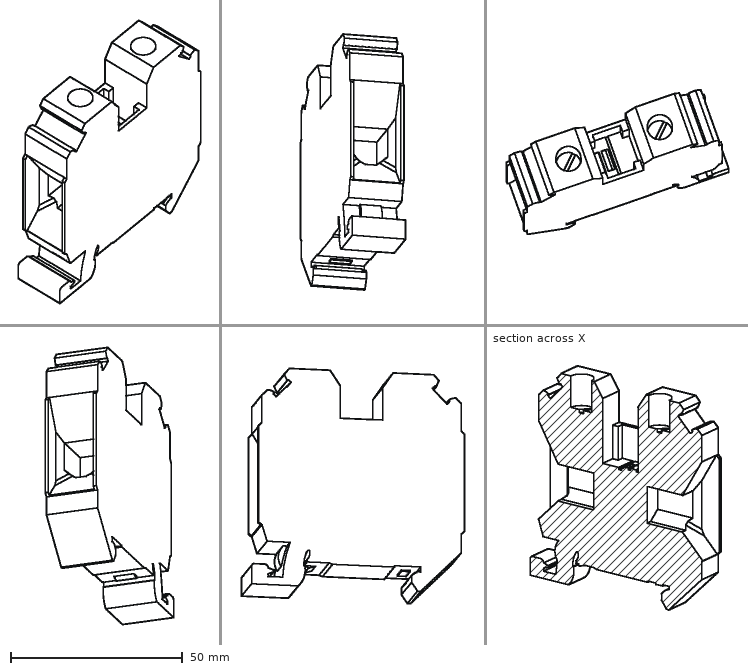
import cadquery as cq

width = 16.0
height = 65.05
side_wall = 1.0
joint_z = 32.5
inner_width = width - 2 * side_wall
half_length = 30.6
shoulder_y = 29.6
plate_step = half_length - shoulder_y
plate_bottom = 18.6
shoulder_top = 56.7
tower_outer_y = 21.4
rib_width = 6.25

notch_half = 6.3
notch_floor = 50.8
notch_chamfer_y = 3.05
notch_chamfer_z = 4.55

entry_top = 48.5
entry_bottom = 18.2
mouth_clearance = 0.65
flat_wall_end = 24.3
funnel_end = 21.5
bore_end = 9.75
bore_overlap = 1.6
bore_width = 10.1
bore_top = 36.55
bore_bottom = 25.3
bore_corner_x = 3.45
bore_corner_z = 2.8
ceiling_slope = 1.7
wall_taper = 1.1
funnel_chamfer = 0.8

screw_y = 14.1
screw_diameter = 7.35
screw_depth = 9.75
screw_slot_width = 1.05
screw_slot_depth = 1.0
screw_slot_angle = -45

recess_depth = 10.4
recess_narrow = 9.6
recess_wide = 13.5
recess_wide_length = 8.6
groove_width = 0.8
groove_depth = 0.65
groove_y = -0.05
rib_height = 0.6
outer_rib_start = 3.6
outer_rib_end = 5.8
inner_rib_start = 0.85
inner_rib_slope = 0.8
inner_rib_end = 2.85
rib_crest = 0.2

underside = 6.9
underside_raised = 7.3
foot_root_y = 17.55
foot_toe_y = 14.8
foot_toe_top = 4.55
slit_y = 16.1
clip_root_y = 21.2
clip_root_z = 12.95
clip_heel_y = 16.8
clip_floor = 2.4
clip_tip_y = 32.65
clip_tip_top = 6.1
clip_tip_round = 0.7
barb_y = 26.1
barb_root_y = 27.7
stop_inner_y = 12.75
stop_outer_y = 15.3
stop_overlap = 0.5


def extrude_yz(profile, thickness):
    """Extrude a closed sketch in the YZ plane evenly to both sides of x = 0."""
    return profile.close().extrude(thickness / 2, both=True)


def box_at(size_x, y_range, z_range):
    """Box centred on x = 0 that spans the given Y and Z ranges."""
    y0, y1 = y_range
    z0, z1 = z_range
    return cq.Workplane("XY").box(size_x, y1 - y0, z1 - z0).translate((0, (y0 + y1) / 2, (z0 + z1) / 2))


def both_ends(solid):
    """Join a solid with its mirror image about y = 0."""
    return solid.union(solid.mirror("XZ"))


def upper_half():
    """+Y half of the housing above the joint plane: end face, marker groove and screw tower."""
    crest = (28.0, 58.35)
    crest_inner = (25.8, 57.6)
    groove_lower_lip = (26.15, 57.25)
    groove_lower_corner = (25.4, 56.45)
    groove_upper_corner = (20.95, 60.9)
    groove_upper_lip = (21.8, 61.65)
    nose_base = (22.1, 61.35)
    nose_tip = (22.95, 63.3)
    outline = (
        cq.Workplane("YZ")
        .moveTo(0, joint_z)
        .lineTo(half_length, joint_z)
        .lineTo(half_length, entry_top - plate_step)
        .lineTo(shoulder_y, entry_top)
        .lineTo(shoulder_y, shoulder_top)
        .lineTo(*crest)
        .threePointArc((26.8, 58.15), crest_inner)
        .lineTo(*groove_lower_lip)
        .lineTo(*groove_lower_corner)
        .lineTo(*groove_upper_corner)
        .lineTo(*groove_upper_lip)
        .lineTo(*nose_base)
        .lineTo(*nose_tip)
        .lineTo(tower_outer_y, height)
        .lineTo(notch_half + notch_chamfer_y, height)
        .lineTo(notch_half, height - notch_chamfer_z)
        .lineTo(notch_half, notch_floor)
        .lineTo(0, notch_floor)
    )
    return extrude_yz(outline, width)


def lower_half():
    """Housing below the joint plane, with the fixed rail foot at +Y and the spring clip at -Y."""
    outline = (
        cq.Workplane("YZ")
        .moveTo(half_length, joint_z)
        .lineTo(half_length, plate_bottom)
        .lineTo(shoulder_y, plate_bottom - plate_step)
        .lineTo(shoulder_y, shoulder_y - foot_root_y)
        .lineTo(foot_root_y, 0)
        .lineTo(16.6, 0)
        .lineTo(foot_toe_y, 2.55)
        .lineTo(foot_toe_y, foot_toe_top)
        .threePointArc((16.0, 5.5), (foot_root_y, 5.8))
        .lineTo(foot_root_y, underside_raised)
        .lineTo(9.75, underside_raised)
        .lineTo(9.75, underside)
        .lineTo(-8.6, underside)
        .lineTo(-9.6, underside_raised)
        .lineTo(-slit_y, underside_raised)
        .lineTo(-slit_y, 8.05)
        .threePointArc((-15.5, 9.1), (-15.35, 10.4))
        .threePointArc((-15.6, 10.8), (-16.0, 10.6))
        .threePointArc((-16.9, 8.45), (-17.1, clip_tip_top))
        .lineTo(-clip_heel_y, clip_tip_top)
        .lineTo(-clip_heel_y, 3.9)
        .threePointArc((-17.45, 1.75), (-18.8, 0))
        .lineTo(-clip_tip_y, 0)
        .lineTo(-clip_tip_y, clip_tip_top - clip_tip_round)
        .threePointArc((-32.4, 5.85), (clip_tip_round - clip_tip_y, clip_tip_top))
        .lineTo(-28.75, clip_tip_top)
        .threePointArc((-28.1, 5.8), (-27.65, 5.0))
        .lineTo(-barb_y, 4.5)
        .lineTo(-barb_y, 3.9)
        .lineTo(-barb_root_y, 3.25)
        .lineTo(-barb_root_y, clip_floor)
        .lineTo(-23.4, clip_floor)
        .threePointArc((-22.7, 7.8), (-clip_root_y, clip_root_z))
        .lineTo(-28.05, clip_root_z)
        .lineTo(-shoulder_y, 17.9)
        .lineTo(-half_length, plate_bottom)
        .lineTo(-half_length, joint_z)
    )
    return extrude_yz(outline, width)


def rail_details():
    """Pad on the fixed foot, bulge on the clip leg and two low stops under the housing."""
    pad = (
        cq.Workplane("YZ")
        .moveTo(foot_root_y, 5.5)
        .lineTo(foot_root_y, 6.4)
        .threePointArc((16.1, 5.8), (foot_toe_y, foot_toe_top))
    )
    bulge_bottom = 6.75
    bulge = (
        cq.Workplane("YZ")
        .moveTo(-clip_root_y, clip_root_z)
        .lineTo(-22.4, clip_root_z)
        .threePointArc((-23.75, 10.15), (-22.95, bulge_bottom))
        .lineTo(-21.8, bulge_bottom)
    )
    stop_top = underside_raised + stop_overlap
    slanted_stop = cq.Workplane("YZ").polyline([
        (-stop_inner_y, stop_top),
        (-stop_inner_y, underside_raised),
        (-14.9, 6.6),
        (-stop_outer_y, underside_raised),
        (-stop_outer_y, stop_top),
    ])
    flat_stop = box_at(rib_width, (stop_inner_y, stop_outer_y), (underside, stop_top))
    return (
        extrude_yz(pad, inner_width)
        .union(extrude_yz(bulge, rib_width))
        .union(extrude_yz(slanted_stop, rib_width))
        .union(flat_stop)
    )


def wire_entry():
    """Cutter for the -Y wire entry: open mouth, tapered funnel and straight bore."""
    mouth_y = half_length + mouth_clearance
    depth = shoulder_y - funnel_end
    funnel = extrude_yz(
        cq.Workplane("YZ").polyline([
            (-mouth_y, entry_bottom - (mouth_y - shoulder_y)),
            (-funnel_end, entry_bottom + depth),
            (-funnel_end, entry_top - ceiling_slope * depth),
            (-shoulder_y, entry_top),
            (-mouth_y, entry_top),
        ]),
        inner_width,
    )
    end_half_width = inner_width / 2 - wall_taper * (flat_wall_end - funnel_end)
    plan = (
        cq.Workplane("XY")
        .polyline([
            (-inner_width / 2, -mouth_y),
            (inner_width / 2, -mouth_y),
            (inner_width / 2, -flat_wall_end),
            (end_half_width, -funnel_end),
            (-end_half_width, -funnel_end),
            (-inner_width / 2, -flat_wall_end),
        ])
        .close()
        .extrude(height)
    )
    funnel = funnel.intersect(plan)
    for side in (-1, 1):
        corner_edge = cq.Vector(-side * wall_taper, 1, 1)
        funnel = funnel.edges(cq.selectors.ParallelDirSelector(corner_edge)).chamfer(funnel_chamfer)

    bore_side = bore_bottom + bore_corner_z
    bore_half_width = bore_width / 2
    bore_floor_half = bore_half_width - bore_corner_x
    bore = (
        cq.Workplane("XZ", origin=(0, -bore_end, 0))
        .polyline([
            (-bore_half_width, bore_top),
            (bore_half_width, bore_top),
            (bore_half_width, bore_side),
            (bore_floor_half, bore_bottom),
            (-bore_floor_half, bore_bottom),
            (-bore_half_width, bore_side),
        ])
        .close()
        .extrude(funnel_end + bore_overlap - bore_end)
    )
    return funnel.union(bore)


def screw_hole():
    """Cutter for one screw shaft, with the driver slot cut into the screw head at its floor."""
    floor_z = height - screw_depth
    shaft = cq.Workplane("XY", origin=(0, 0, floor_z)).circle(screw_diameter / 2).extrude(screw_depth)
    head_slot = (
        cq.Workplane("XY", origin=(0, 0, floor_z - screw_slot_depth))
        .rect(screw_diameter, screw_slot_width)
        .extrude(screw_slot_depth)
        .rotate((0, 0, 0), (0, 0, 1), screw_slot_angle)
    )
    round_head = cq.Workplane("XY").circle(screw_diameter / 2).extrude(height)
    return shaft.union(head_slot.intersect(round_head))


def screw_holes():
    """Cutter for the screw shafts in both towers."""
    hole = screw_hole()
    return hole.translate((0, screw_y, 0)).union(hole.translate((0, -screw_y, 0)))


def notch_recess():
    """Cutter for the stepped recess in the notch floor, with its groove and two ribs."""
    floor_z = notch_floor - recess_depth
    recess_z = (floor_z, notch_floor)
    recess = box_at(recess_narrow, (-notch_half, notch_half), recess_z).union(
        box_at(recess_wide, (-recess_wide_length / 2, recess_wide_length / 2), recess_z)
    )
    groove_y_range = (groove_y - groove_width / 2, groove_y + groove_width / 2)
    groove = box_at(recess_wide, groove_y_range, (floor_z - groove_depth, floor_z))

    rib_top = floor_z + rib_height
    outer_rib = cq.Workplane("YZ").polyline([
        (outer_rib_start, floor_z),
        (3.85, rib_top + rib_crest),
        (5.0, rib_top),
        (outer_rib_end, rib_top),
        (outer_rib_end, floor_z),
    ])
    inner_rib = cq.Workplane("YZ").polyline([
        (inner_rib_start, floor_z),
        (inner_rib_start + inner_rib_slope, rib_top),
        (inner_rib_end, rib_top),
        (inner_rib_end, floor_z),
    ])
    ribs = extrude_yz(outer_rib, rib_width).union(extrude_yz(inner_rib, rib_width))
    return recess.union(groove).cut(ribs)


result = (
    lower_half()
    .union(both_ends(upper_half()))
    .union(rail_details())
    .cut(both_ends(wire_entry()))
    .cut(screw_holes())
    .cut(notch_recess())
)